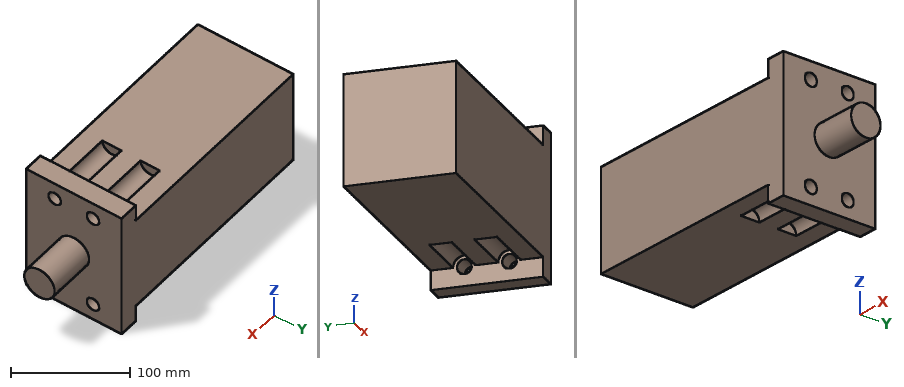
import cadquery as cq

total_length = 288.3
body_width = 100.0
flange_height = 135.0
flange_thickness = 20.0
shaft_length = 48.0
shaft_diameter = 32.0
body_length = total_length - flange_thickness - shaft_length

bolt_spacing = 40.0
bolt_hole_diameter = 13.0
groove_diameter = 20.0
groove_length = 60.0

flange_end = body_length + flange_thickness


def rod(start_x, length, diameter, centers):
    """Cylinders along X at the given (y, z) centers."""
    plane = cq.Workplane("YZ", origin=(start_x, 0, 0))
    return plane.pushPoints(centers).circle(diameter / 2).extrude(length)


bolt_centers = [
    (side_y * bolt_spacing / 2, side_z * body_width / 2)
    for side_y in (-1, 1)
    for side_z in (-1, 1)
]

body = cq.Workplane("YZ").rect(body_width, body_width).extrude(body_length)
flange = (
    cq.Workplane("YZ", origin=(body_length, 0, 0))
    .rect(body_width, flange_height)
    .extrude(flange_thickness)
)
shaft = rod(flange_end, shaft_length, shaft_diameter, [(0, 0)])

grooves = rod(body_length - groove_length, groove_length, groove_diameter, bolt_centers)

bolt_holes = rod(body_length, flange_thickness, bolt_hole_diameter, bolt_centers)

result = body.union(flange).union(shaft).cut(grooves).cut(bolt_holes)